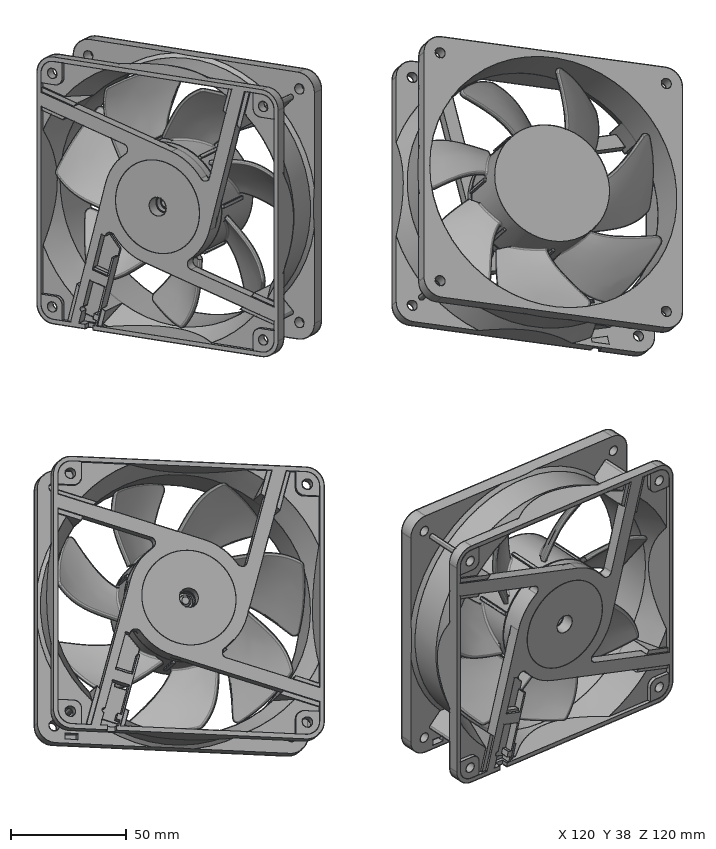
import cadquery as cq
import math


SIDE = 120.0
DEPTH = 38.0
CORNER_RADIUS = 8.2
FRONT_FLANGE = 5.0
BACK_FLANGE = 6.4
RIM_WIDTH = 2.0
RECESS_DEPTH = 1.9
INNER_SIDE = SIDE - 2 * RIM_WIDTH
INNER_CORNER_RADIUS = CORNER_RADIUS - RIM_WIDTH
BACK_FLANGE_START = DEPTH - BACK_FLANGE

THROAT_RADIUS = 57.4
BARREL_WALL = 1.7
BARREL_RADIUS = THROAT_RADIUS + BARREL_WALL
CONE_LENGTH = 15.6
CONE_SPREAD = 7.0
BACK_BEVEL = 1.7
CUT_MARGIN = 1.2

CORNER_COUNT = 4
SCREW_SPACING = 105.0
SCREW_HOLE_RADIUS = 2.3
PAD_SIZE = 10.5
PAD_RADIUS = 3.6
PAD_SETBACK = 0.1
WEB_OUTER_RADIUS = 69.6
WEB_THICKNESS = 2.4
WEB_END_RADIUS = 1.14

MOUNT_RADIUS = 26.8
MOUNT_DEPTH = 9.0
DISC_RADIUS = 20.9
DISC_SETBACK = 0.1
BORE_RADIUS = 4.2
BORE_DEPTH = 6.0
SHAFT_HOLE_RADIUS = 3.7
STRUT_COUNT = 4
STRUT_TILT = 15.0
STRUT_WIDTH = 6.1
STRUT_DEPTH = 5.0
STRUT_LENGTH = 84.0
STRUT_FILLET = 2.4
FOOT_OVERHANG = 1.9
FOOT_SETBACK = 1.0

CHANNEL_STRUT = 1
CHANNEL_WIDTH = 12.5
CHANNEL_START = 23.0
CHANNEL_SLANT = 4.5
CHANNEL_FLOOR_END = 62.4
CHANNEL_OUTLET_DEPTH = 4.5
CHANNEL_SIDE_WALL = 4.0
CHANNEL_THIN_WALL = 0.8
CHANNEL_FLOOR = 1.2
CHANNEL_CLEAR_END = CHANNEL_WIDTH - CHANNEL_THIN_WALL
THIN_WALL_START = 31.0
CLIP_START = 39.1
CLIP_LENGTH = 6.1
CLIP_LIP = 1.1
CLIP_LIP_DEPTH = 1.2
CLIP_SLOT = 1.5
RELIEF_POSITION = 59.3
RELIEF_RADIUS = 1.1
TAB_START = 58.8
TAB_LENGTH = 2.6
TAB_WIDTH = 1.7
CABLE_WINDOW_START = 58.7
CABLE_WINDOW_END = 13.5
FRONT_NOTCH_X = -34.1
FRONT_NOTCH_WIDTH = 3.8
FRONT_NOTCH_DEPTH = 3.1
BACK_POCKET_X = -44.9
BACK_POCKET_WIDTH = 5.8
BACK_POCKET_Z = -56.9
BACK_POCKET_HEIGHT = 2.6
BACK_POCKET_DEPTH = 3.6

HUB_RADIUS = 26.6
HUB_START = 9.6
HUB_END = 36.6
SHAFT_RADIUS = 2.6
SHAFT_START = 6.6
SHAFT_CHAMFER = 1.0
BLADE_COUNT = 7
BLADE_TIP_RADIUS = 56.2
BLADE_THICKNESS = 2.0
BLADE_CAMBER = 1.5
BLADE_TIP_FILLET = 2.4
BLADE_EDGE_FILLET = 0.6
BLADE_ROOT_FILLET = 0.7
RIB_ANGLE = 157.5
RIB_WIDTH = 1.5
RIB_HEIGHT = 1.0
RIB_END = 26.4
BLADE_SECTIONS = [
    (24.0, -1.1, 25.2, 15.5, 10.2),
    (36.0, -6.7, 28.2, 15.0, 9.6),
    (46.8, -16.5, 31.2, 12.7, 9.0),
    (56.3, -25.8, 33.1, 6.7, 8.4),
]


def block(x_range, y_range, z_range):
    spans = (x_range, y_range, z_range)
    size = [high - low for low, high in spans]
    middle = [(high + low) / 2 for low, high in spans]
    return cq.Workplane("XY").box(*size).translate(tuple(middle))


def rounded_square(side, radius, start, end):
    """Square block with rounded corners, from Y = start to Y = end."""
    half = side / 2
    return block((-half, half), (start, end), (-half, half)).edges("|Y").fillet(radius)


def disc(radius, start, end):
    """Cylinder about the fan axis, from Y = start to Y = end."""
    return cq.Workplane("XZ").workplane(offset=-end).circle(radius).extrude(end - start)


def turn(shape, angle):
    """Rotate about the fan axis, counter-clockwise as seen from the strut side."""
    return shape.rotate((0, 0, 0), (0, -1, 0), angle)


def spin_profile(profile):
    """Solid of revolution about the fan axis."""
    return cq.Workplane("XY").polyline(profile).close().revolve(360, (0, 0), (0, 1))


def rim_middle():
    """Outline halfway through the rim, where the struts end inside it."""
    return rounded_square(SIDE - RIM_WIDTH, CORNER_RADIUS - RIM_WIDTH / 2, 0, DEPTH)


def cone_radius(end_radius, y):
    return end_radius + CONE_SPREAD * (CONE_LENGTH - y) / CONE_LENGTH


def barrel_envelope():
    profile = [
        (0, 0),
        (cone_radius(BARREL_RADIUS, 0), 0),
        (BARREL_RADIUS, CONE_LENGTH),
        (BARREL_RADIUS, BACK_FLANGE_START - BACK_BEVEL),
        (BARREL_RADIUS + BACK_BEVEL, BACK_FLANGE_START),
        (0, BACK_FLANGE_START),
    ]
    return spin_profile(profile).intersect(rounded_square(SIDE, CORNER_RADIUS, 0, DEPTH))


def air_passage():
    start = -CUT_MARGIN
    end = DEPTH + CUT_MARGIN
    profile = [
        (0, start),
        (cone_radius(THROAT_RADIUS, start), start),
        (THROAT_RADIUS, CONE_LENGTH),
        (THROAT_RADIUS, end),
        (0, end),
    ]
    return spin_profile(profile).intersect(rounded_square(INNER_SIDE, INNER_CORNER_RADIUS, start, end))


def corner_pads():
    inner = INNER_SIDE / 2 - PAD_SIZE
    pad = block((inner, SIDE / 2), (0, FRONT_FLANGE), (inner, SIDE / 2))
    pad = pad.edges("|Y and <X and <Z").fillet(PAD_RADIUS)
    pads = cq.Workplane("XY")
    for corner in range(CORNER_COUNT):
        pads = pads.add(turn(pad, corner * 360 / CORNER_COUNT))
    outline = rounded_square(INNER_SIDE, INNER_CORNER_RADIUS, PAD_SETBACK, FRONT_FLANGE)
    return pads.combine().intersect(outline)


def corner_web(corner):
    """Diagonal plate between the flanges, with a rounded outer edge."""
    web = block(
        (THROAT_RADIUS + BARREL_WALL / 2, WEB_OUTER_RADIUS),
        (FRONT_FLANGE / 2, BACK_FLANGE_START + BACK_FLANGE / 2),
        (-WEB_THICKNESS / 2, WEB_THICKNESS / 2),
    )
    web = web.edges("|Y and >X").fillet(WEB_END_RADIUS)
    return turn(web, (corner + 0.5) * 360 / CORNER_COUNT)


def screw_holes():
    hole = disc(SCREW_HOLE_RADIUS, 0, DEPTH)
    holes = cq.Workplane("XY")
    for x in (-SCREW_SPACING / 2, SCREW_SPACING / 2):
        for z in (-SCREW_SPACING / 2, SCREW_SPACING / 2):
            holes = holes.add(hole.translate((x, 0, z)))
    return holes.combine()


def strut_bar(across, start, end, along=(0, STRUT_LENGTH)):
    """Bar in the place of an untilted strut, later turned into place.

    The strut runs along -X. `along` is measured from the fan axis and `across` inwards
    from the outer side of the strut, which touches the motor mount circle.
    """
    return block(
        (-along[1], -along[0]),
        (start, end),
        (MOUNT_RADIUS - across[1], MOUNT_RADIUS - across[0]),
    )


def strut_angle(index):
    return index * 360 / STRUT_COUNT - STRUT_TILT


def strut_feet():
    """Wider roots that carry the struts on the barrel cone."""
    feet = cq.Workplane("XY")
    for index in range(STRUT_COUNT):
        width = CHANNEL_WIDTH if index == CHANNEL_STRUT else STRUT_WIDTH
        foot = strut_bar((-FOOT_OVERHANG, width + FOOT_OVERHANG), FOOT_SETBACK, CONE_LENGTH)
        feet = feet.add(turn(foot, strut_angle(index)))
    flange = rounded_square(SIDE - RIM_WIDTH, CORNER_RADIUS - RIM_WIDTH / 2, 0, FRONT_FLANGE)
    feet = feet.combine().intersect(barrel_envelope().union(flange))
    return feet.cut(disc(THROAT_RADIUS, 0, DEPTH))


def motor_mount():
    mount = disc(MOUNT_RADIUS, 0, STRUT_DEPTH)
    bar = strut_bar((0, STRUT_WIDTH), 0, STRUT_DEPTH)
    for index in range(STRUT_COUNT):
        mount = mount.union(turn(bar, strut_angle(index)))
    near_mount = cq.selectors.BoxSelector(
        (-MOUNT_RADIUS, 0, -MOUNT_RADIUS), (MOUNT_RADIUS, STRUT_DEPTH, MOUNT_RADIUS)
    )
    mount = mount.edges("|Y").edges(near_mount).fillet(STRUT_FILLET)
    return mount.union(disc(MOUNT_RADIUS, 0, MOUNT_DEPTH)).intersect(rim_middle())


def motor_mount_recesses():
    cuts = disc(DISC_RADIUS, 0, DISC_SETBACK)
    cuts = cuts.union(disc(BORE_RADIUS, 0, BORE_DEPTH))
    return cuts.union(disc(SHAFT_HOLE_RADIUS, 0, MOUNT_DEPTH))


def cable_channel():
    """Open trough on the inner side of one strut, bridged by a clip with a slot beside it."""
    outline = [
        (-CHANNEL_START, MOUNT_RADIUS - STRUT_WIDTH),
        (-CHANNEL_START - CHANNEL_SLANT, MOUNT_RADIUS - CHANNEL_WIDTH),
        (-STRUT_LENGTH, MOUNT_RADIUS - CHANNEL_WIDTH),
        (-STRUT_LENGTH, MOUNT_RADIUS),
        (-CHANNEL_START, MOUNT_RADIUS),
    ]
    trough = cq.Workplane("XZ").polyline(outline).close().extrude(-STRUT_DEPTH)
    clear = (CHANNEL_SIDE_WALL, CHANNEL_CLEAR_END)
    open_sided = (CHANNEL_SIDE_WALL, CHANNEL_WIDTH)
    clip_end = CLIP_START + CLIP_LENGTH
    pocket_depth = STRUT_DEPTH - CHANNEL_FLOOR
    trough = trough.cut(strut_bar(open_sided, 0, pocket_depth, (0, THIN_WALL_START)))
    trough = trough.cut(strut_bar(clear, 0, pocket_depth, (0, CLIP_START)))
    trough = trough.cut(strut_bar(clear, 0, pocket_depth, (clip_end, CHANNEL_FLOOR_END)))
    trough = trough.cut(strut_bar(clear, 0, CHANNEL_OUTLET_DEPTH, (CHANNEL_FLOOR_END, STRUT_LENGTH)))
    lip = strut_bar(clear, 0, CLIP_LIP_DEPTH, (CLIP_START, CLIP_START + CLIP_LIP))
    slot = strut_bar((STRUT_WIDTH, CHANNEL_CLEAR_END), 0, STRUT_DEPTH, (clip_end, clip_end + CLIP_SLOT))
    relief = disc(RELIEF_RADIUS, 0, pocket_depth).translate(
        (-RELIEF_POSITION, 0, MOUNT_RADIUS - CHANNEL_SIDE_WALL)
    )
    tab = strut_bar(
        (CHANNEL_CLEAR_END - TAB_WIDTH, CHANNEL_CLEAR_END),
        0,
        STRUT_DEPTH,
        (TAB_START, TAB_START + TAB_LENGTH),
    )
    trough = trough.cut(lip).cut(slot).cut(relief).union(tab)
    trough = turn(trough, strut_angle(CHANNEL_STRUT))
    return trough.cut(disc(MOUNT_RADIUS, 0, DEPTH)).intersect(rim_middle())


def channel_pocket():
    """Room for the trough in the strut and foot that carry it."""
    pocket = strut_bar((0, CHANNEL_WIDTH), 0, STRUT_DEPTH, (CHANNEL_START, STRUT_LENGTH))
    pocket = turn(pocket, strut_angle(CHANNEL_STRUT))
    inside_rim = rounded_square(INNER_SIDE, INNER_CORNER_RADIUS, 0, DEPTH)
    return pocket.cut(disc(MOUNT_RADIUS, 0, DEPTH)).intersect(inside_rim)


def cable_openings():
    """Window through the barrel cone, notch in the front rim and pocket in the back flange."""
    window = strut_bar(
        (0, CHANNEL_CLEAR_END),
        STRUT_DEPTH,
        CABLE_WINDOW_END,
        (CABLE_WINDOW_START, STRUT_LENGTH),
    )
    front_notch = block(
        (FRONT_NOTCH_X - FRONT_NOTCH_WIDTH / 2, FRONT_NOTCH_X + FRONT_NOTCH_WIDTH / 2),
        (0, FRONT_NOTCH_DEPTH),
        (-SIDE / 2, -INNER_SIDE / 2),
    )
    back_pocket = block(
        (BACK_POCKET_X - BACK_POCKET_WIDTH / 2, BACK_POCKET_X + BACK_POCKET_WIDTH / 2),
        (BACK_FLANGE_START, BACK_FLANGE_START + BACK_POCKET_DEPTH),
        (BACK_POCKET_Z - BACK_POCKET_HEIGHT / 2, BACK_POCKET_Z + BACK_POCKET_HEIGHT / 2),
    )
    return turn(window, strut_angle(CHANNEL_STRUT)).union(front_notch).union(back_pocket)


def make_housing():
    body = rounded_square(SIDE, CORNER_RADIUS, 0, FRONT_FLANGE)
    body = body.union(rounded_square(SIDE, CORNER_RADIUS, BACK_FLANGE_START, DEPTH))
    body = body.union(barrel_envelope())
    for corner in range(CORNER_COUNT):
        body = body.union(corner_web(corner))
    body = body.cut(rounded_square(INNER_SIDE, INNER_CORNER_RADIUS, 0, RECESS_DEPTH))
    body = body.union(corner_pads())
    body = body.cut(air_passage())
    body = body.union(strut_feet())
    body = body.union(motor_mount())
    body = body.cut(channel_pocket())
    body = body.union(cable_channel())
    body = body.cut(motor_mount_recesses())
    body = body.cut(screw_holes())
    return body.cut(cable_openings())


def blade_section(distance, back_x, back_y, front_x, front_y):
    """Cambered strip lying across the blade, in the plane Z = -distance."""
    run = front_x - back_x
    rise = front_y - back_y
    chord = math.hypot(run, rise)

    def point(along, offset):
        x = back_x + run * along - rise / chord * offset
        y = back_y + rise * along + run / chord * offset
        return (x, y)

    half = BLADE_THICKNESS / 2
    return (
        cq.Workplane("XY")
        .workplane(offset=-distance)
        .moveTo(*point(0, -half))
        .threePointArc(point(0.5, BLADE_CAMBER - half), point(1, -half))
        .lineTo(*point(1, half))
        .threePointArc(point(0.5, BLADE_CAMBER + half), point(0, half))
        .close()
        .val()
    )


def blade():
    """Twisted blade hanging down from the hub, with rounded tip corners and edges."""
    wires = [blade_section(*section) for section in BLADE_SECTIONS]
    solid = cq.Workplane(cq.Solid.makeLoft(wires))
    solid = solid.intersect(disc(BLADE_TIP_RADIUS, 0, DEPTH)).solids()
    corner_zone = -BLADE_SECTIONS[2][0]
    tip_corners = [
        edge
        for edge in solid.edges().vals()
        if edge.Length() < 2 * BLADE_THICKNESS and edge.Center().z < corner_zone
    ]
    solid = solid.newObject(tip_corners).fillet(BLADE_TIP_FILLET)
    outside_hub = cq.selectors.BoxSelector(
        (-SIDE, 0, -SIDE), (SIDE, DEPTH, -BLADE_SECTIONS[0][0] - BLADE_EDGE_FILLET)
    )
    return solid.edges(outside_hub).fillet(BLADE_EDGE_FILLET)


def hub_rib():
    """Low rib along the hub between two blades."""
    rib = block(
        (HUB_RADIUS - RIB_HEIGHT, HUB_RADIUS + RIB_HEIGHT),
        (HUB_START, RIB_END),
        (-RIB_WIDTH / 2, RIB_WIDTH / 2),
    )
    return turn(rib, RIB_ANGLE)


def lies_on_hub(edge):
    """True for a curved edge that follows the hub surface, as the blade roots do."""
    tolerance = 0.01
    samples = edge.positions([0, 0.25, 0.5, 0.75, 1])
    on_hub = all(abs(math.hypot(spot.x, spot.z) - HUB_RADIUS) < tolerance for spot in samples)
    return edge.geomType() == "BSPLINE" and on_hub


def make_rotor():
    body = disc(HUB_RADIUS, HUB_START, HUB_END)
    shaft = disc(SHAFT_RADIUS, SHAFT_START, HUB_START).faces("<Y").chamfer(SHAFT_CHAMFER)
    body = body.union(shaft)
    lowest_blade = blade()
    rib = hub_rib()
    for index in range(BLADE_COUNT):
        step = index * 360 / BLADE_COUNT
        body = body.union(turn(lowest_blade, step)).union(turn(rib, step))
    roots = [edge for edge in body.edges().vals() if lies_on_hub(edge)]
    return body.newObject(roots).fillet(BLADE_ROOT_FILLET)


housing = make_housing()
rotor = make_rotor()
result = cq.Compound.makeCompound([housing.solids().val(), rotor.solids().val()])